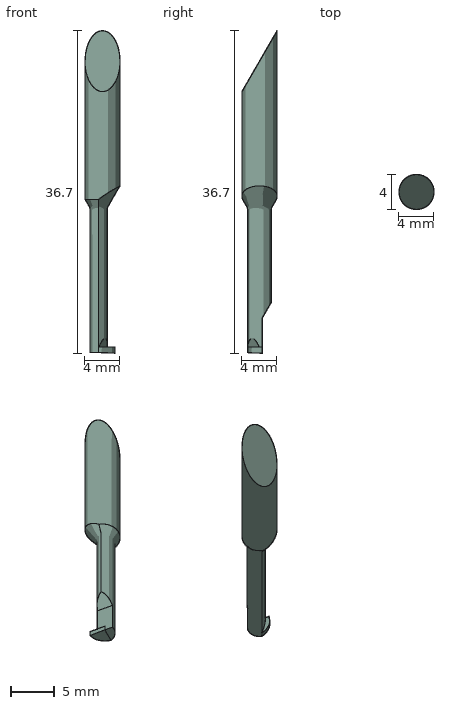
import cadquery as cq
import math

total_length = 36.7
shank_diameter = 4.0
shank_radius = shank_diameter / 2
top_slope = 60.0

neck_radius = 1.45
lens_offset = 0.88
lens_edge_x = -lens_offset / 2
lens_edge_y = -math.sqrt(neck_radius**2 - lens_edge_x**2)
neck_bottom = 0.07
flare_start = 16.35
flare_angle = math.radians(30.0)
flare_fillet = 0.75
flare_end = 22.03

rake_y = 0.33
rake_height = 4.05
ramp_angle = math.radians(30.0)

tooth_height = 0.75
tooth_reach = 1.45
tooth_heel_x = 1.17
tooth_heel_y = -0.33
tooth_bulge = 0.2

relief_depth = 0.25
relief_rise = 0.95


def make_shank():
    shank = cq.Workplane("XY").circle(shank_radius).extrude(total_length)
    low_side = total_length - shank_diameter * math.tan(math.radians(top_slope))
    slanted_waste = (
        cq.Workplane("YZ")
        .moveTo(shank_radius, total_length)
        .lineTo(-shank_radius, low_side)
        .lineTo(-shank_radius, total_length)
        .close()
        .extrude(shank_radius, both=True)
    )
    return shank.cut(slanted_waste)


def make_flared_round(centre_x):
    """Round neck that blends into a cone and then stays full size to the top."""
    def fillet_point(angle):
        radius = neck_radius + flare_fillet * (1 - math.cos(angle))
        return radius, flare_start + flare_fillet * math.sin(angle)

    cone_radius, cone_start = fillet_point(flare_angle)
    full_radius = cone_radius + (flare_end - cone_start) * math.tan(flare_angle)
    return (
        cq.Workplane("XZ")
        .moveTo(0, neck_bottom)
        .lineTo(neck_radius, neck_bottom)
        .lineTo(neck_radius, flare_start)
        .threePointArc(fillet_point(flare_angle / 2), (cone_radius, cone_start))
        .lineTo(full_radius, flare_end)
        .lineTo(full_radius, total_length)
        .lineTo(0, total_length)
        .close()
        .revolve(360, (0, 0, 0), (0, 1, 0))
        .translate((centre_x, 0, 0))
    )


def make_rake_waste():
    """Material removed behind the rake flat and its ramp."""
    back_y = shank_radius
    ramp_top = rake_height + (back_y - rake_y) / math.tan(ramp_angle)
    return (
        cq.Workplane("YZ")
        .moveTo(rake_y, 0)
        .lineTo(rake_y, rake_height)
        .lineTo(back_y, ramp_top)
        .lineTo(back_y, 0)
        .close()
        .extrude(shank_radius, both=True)
    )


def make_relief_waste():
    """Wedge outside a leaning plane that faces the front right."""
    chord_angle = math.atan2(-lens_edge_y, neck_radius - lens_offset - lens_edge_x)
    facing = cq.Vector(math.sin(chord_angle), -math.cos(chord_angle), 0)
    surface_point = cq.Vector(-lens_offset, 0, 0) + facing * neck_radius
    plane = cq.Plane(
        origin=(surface_point.x, surface_point.y, 0),
        xDir=facing.toTuple(),
        normal=(-math.cos(chord_angle), -math.sin(chord_angle), 0),
    )
    return (
        cq.Workplane(plane)
        .moveTo(-relief_depth, tooth_height)
        .lineTo(0, tooth_height + relief_rise)
        .lineTo(neck_radius, tooth_height + relief_rise)
        .lineTo(neck_radius, tooth_height)
        .close()
        .extrude(shank_radius, both=True)
    )


def make_tooth_seat():
    """Space in the neck taken up by the root of the tooth."""
    return cq.Workplane("XY").box(
        shank_radius, shank_diameter, tooth_height, centered=(False, True, False)
    ).translate((lens_edge_x, 0, 0))


def make_holder():
    holder = make_shank().intersect(make_flared_round(0)).intersect(make_flared_round(-lens_offset))
    return holder.cut(make_rake_waste()).cut(make_relief_waste()).cut(make_tooth_seat())


def make_tooth():
    flank_x = tooth_heel_x - lens_edge_x
    flank_y = tooth_heel_y - lens_edge_y
    flank_length = math.hypot(flank_x, flank_y)
    flank_middle = (
        (lens_edge_x + tooth_heel_x) / 2 + tooth_bulge * flank_y / flank_length,
        (lens_edge_y + tooth_heel_y) / 2 - tooth_bulge * flank_x / flank_length,
    )
    blank = (
        cq.Workplane("XY")
        .moveTo(lens_edge_x, rake_y)
        .lineTo(lens_edge_x, lens_edge_y)
        .threePointArc(flank_middle, (tooth_heel_x, tooth_heel_y))
        .lineTo(tooth_reach, rake_y)
        .close()
        .extrude(tooth_height)
    )
    end_waste = (
        cq.Workplane("XZ")
        .moveTo(lens_edge_x, 0)
        .lineTo(lens_edge_x, neck_bottom)
        .lineTo(tooth_reach, 0)
        .close()
        .extrude(shank_radius, both=True)
    )
    return blank.cut(end_waste)


holder = make_holder()
tooth = make_tooth()
result = cq.Compound.makeCompound([holder.solids().val(), tooth.solids().val()])